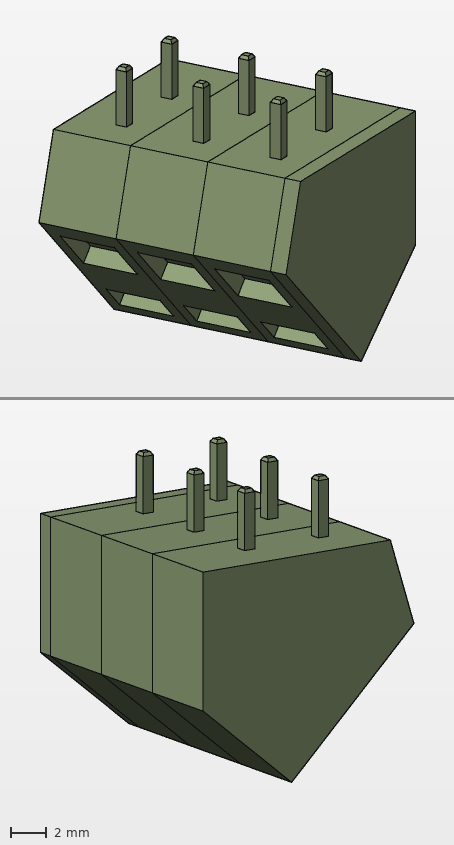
import cadquery as cq
import math


total_width = 16.0
total_depth = 14.3
total_height = 16.5

module_count = 3
module_pitch = 5.0
plate_x = module_count * module_pitch
plate_width = total_width - plate_x

block_height = 13.0
top_depth = 12.7
knee_height = 7.95
keel_to_back = 6.0
back_corner_height = 4.98
top_front_y = total_depth - top_depth
keel_y = total_depth - keel_to_back

pin_size = 0.7
pin_tip_height = 0.2
pin_tip_inset = 0.13
pin_shank_length = total_height - block_height - pin_tip_height
pin_tip_taper = math.degrees(math.atan2(pin_tip_inset, pin_tip_height))
pin_x = 3.0
pin_pitch = 5.0
pins_per_module = 2
rear_pin_to_back = 5.0

pocket_width = 3.5
pocket_depth = 1.09
lower_pocket_start = 0.92
lower_pocket_length = 2.06
upper_pocket_start = 6.44
upper_pocket_length = 3.56
slope_angle = math.degrees(math.atan2(knee_height, keel_y))


def profile_block(start_x, width):
    """Five-sided profile extruded along X."""
    outline = [
        (keel_y, 0),
        (total_depth, back_corner_height),
        (total_depth, block_height),
        (top_front_y, block_height),
        (0, knee_height),
    ]
    return cq.Workplane("YZ", origin=(start_x, 0, 0)).polyline(outline).close().extrude(width)


def solder_pin(x, y):
    """Square pin with a tapered tip, standing on the flat top."""
    return (
        cq.Workplane("XY", origin=(x, y, block_height))
        .rect(pin_size, pin_size)
        .extrude(pin_shank_length)
        .faces(">Z")
        .workplane()
        .rect(pin_size, pin_size)
        .extrude(pin_tip_height, taper=pin_tip_taper)
    )


def slope_pocket(start_x, slope_start, slope_length):
    """Rectangular cutter square to the sloping face, reaching pocket_depth below it."""
    side_margin = (module_pitch - pocket_width) / 2
    flat_cutter = cq.Workplane("XY").box(
        pocket_width, slope_length, 2 * pocket_depth, centered=(False, False, True)
    )
    return (
        flat_cutter.translate((start_x + side_margin, slope_start, 0))
        .rotate((0, 0, 0), (1, 0, 0), 180 - slope_angle)
        .translate((0, keel_y, 0))
    )


def wire_module(start_x):
    """One module: block with its solder pins and its two front pockets."""
    module = profile_block(start_x, module_pitch)
    for index in range(pins_per_module):
        pin_y = total_depth - rear_pin_to_back - index * pin_pitch
        module = module.union(solder_pin(start_x + pin_x, pin_y))
    module = module.cut(slope_pocket(start_x, lower_pocket_start, lower_pocket_length))
    module = module.cut(slope_pocket(start_x, upper_pocket_start, upper_pocket_length))
    return module


modules = [wire_module(index * module_pitch) for index in range(module_count)]
end_plate = profile_block(plate_x, plate_width)

result = cq.Compound.makeCompound([*(module.val() for module in modules), end_plate.val()])